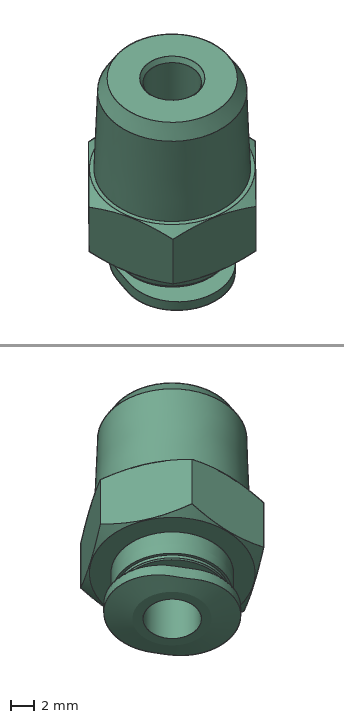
import cadquery as cq
import math

total_height = 22.3
collar_top = 1.55
sleeve_bottom = 2.43
lip_top = 2.88
sleeve_taper_top = 3.84
hex_bottom = 5.29
hex_top = 11.8
nose_height = 1.45

collar_end_radius = 4.9
collar_flat_length = 1.96
collar_face_radius = 3.4
collar_face_angle = 13.0
neck_radius = 3.85
neck_fillet = 0.35

sleeve_radius = 5.252
sleeve_taper_radius = 5.17
lip_radius = 4.95
lip_chamfer = 0.11

across_flats = 14.3
hex_face_radius = 7.1
hex_chamfer_angle = 30.0

thread_base_radius = 6.71
thread_tip_radius = 6.4
nose_radius = 5.58

bore_radius = 2.5
bore_mouth_radius = 2.79
bore_mouth_depth = 0.5


def revolve_profile(points):
    """Revolve a closed (radius, height) outline about the Z axis."""
    return cq.Workplane("XZ").polyline(points).close().revolve(360, (0, 0), (0, 1))


def make_collar():
    collar_length = collar_flat_length + 2 * collar_end_radius
    reach = collar_length / 2
    cone_height = (reach - collar_face_radius) * math.tan(math.radians(collar_face_angle))
    oval = cq.Workplane("XY").slot2D(collar_length, 2 * collar_end_radius).extrude(collar_top)
    envelope = revolve_profile([
        (0, 0),
        (collar_face_radius, 0),
        (reach, cone_height),
        (reach, collar_top),
        (0, collar_top),
    ])
    return oval.intersect(envelope)


def make_neck():
    flare_radius = neck_radius + neck_fillet
    diagonal = neck_fillet * (1 - math.sqrt(0.5))
    return (
        cq.Workplane("XZ")
        .moveTo(0, collar_top)
        .lineTo(flare_radius, collar_top)
        .threePointArc(
            (neck_radius + diagonal, collar_top + diagonal),
            (neck_radius, collar_top + neck_fillet),
        )
        .lineTo(neck_radius, sleeve_bottom)
        .lineTo(0, sleeve_bottom)
        .close()
        .revolve(360, (0, 0), (0, 1))
    )


def make_sleeve():
    return revolve_profile([
        (0, sleeve_bottom),
        (lip_radius - lip_chamfer, sleeve_bottom),
        (lip_radius, sleeve_bottom + lip_chamfer),
        (lip_radius, lip_top),
        (sleeve_taper_radius, lip_top),
        (sleeve_radius, sleeve_taper_top),
        (sleeve_radius, hex_bottom),
        (0, hex_bottom),
    ])


def make_hexagon():
    corner_radius = across_flats / math.sqrt(3)
    chamfer_height = (corner_radius - hex_face_radius) * math.tan(math.radians(hex_chamfer_angle))
    prism = (
        cq.Workplane("XY")
        .workplane(offset=hex_bottom)
        .polygon(6, 2 * corner_radius)
        .extrude(hex_top - hex_bottom)
        .rotate((0, 0, 0), (0, 0, 1), 30)
    )
    envelope = revolve_profile([
        (0, hex_bottom),
        (hex_face_radius, hex_bottom),
        (corner_radius, hex_bottom + chamfer_height),
        (corner_radius, hex_top - chamfer_height),
        (hex_face_radius, hex_top),
        (0, hex_top),
    ])
    return prism.intersect(envelope)


def make_threaded_end():
    return revolve_profile([
        (0, hex_top),
        (thread_base_radius, hex_top),
        (thread_tip_radius, total_height - nose_height),
        (nose_radius, total_height),
        (0, total_height),
    ])


def make_bore():
    return revolve_profile([
        (0, 0),
        (bore_radius, 0),
        (bore_radius, total_height - bore_mouth_depth),
        (bore_mouth_radius, total_height),
        (0, total_height),
    ])


body = (
    make_collar()
    .union(make_neck())
    .union(make_sleeve())
    .union(make_hexagon())
    .union(make_threaded_end())
)
result = body.cut(make_bore())